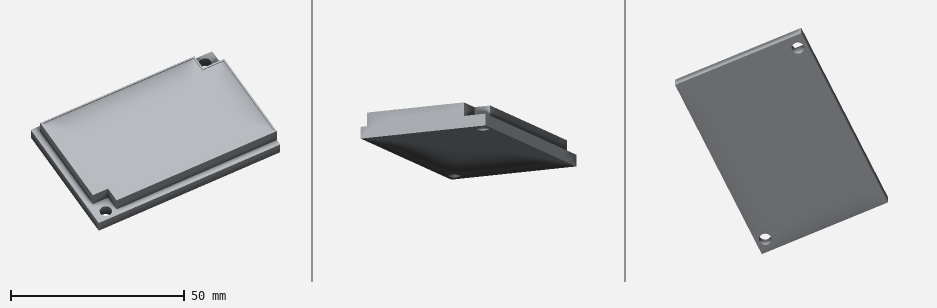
import cadquery as cq

width = 40.0
length = 60.0
total_height = 7.5
base_height = 3.5

margin = 2.0
notch_inset = 7.0
rim_width = 0.5
recess_depth = 0.3

hole_diameter = 3.6
hole_inset_x = 2.9
hole_inset_y = 3.95


def notched_outline(inset):
    """Block outline with two notched corners, moved inward by inset."""
    left = -width / 2 + margin + inset
    right = -left
    front = -length / 2 + margin + inset
    back = length / 2 - inset
    notch_x = width / 2 - notch_inset - inset
    notch_y = length / 2 - notch_inset - inset
    return [
        (left, front),
        (notch_x, front),
        (notch_x, -notch_y),
        (right, -notch_y),
        (right, back),
        (-notch_x, back),
        (-notch_x, notch_y),
        (left, notch_y),
    ]


def notched_prism(inset, bottom, top):
    outline = cq.Workplane("XY").workplane(offset=bottom).polyline(notched_outline(inset))
    return outline.close().extrude(top - bottom)


base = cq.Workplane("XY").box(width, length, base_height, centered=(True, True, False))
block = notched_prism(0, base_height, total_height)
recess = notched_prism(rim_width, total_height - recess_depth, total_height)

hole_x = width / 2 - hole_inset_x
hole_y = length / 2 - hole_inset_y
holes = (
    cq.Workplane("XY")
    .pushPoints([(-hole_x, hole_y), (hole_x, -hole_y)])
    .circle(hole_diameter / 2)
    .extrude(base_height)
)

result = base.union(block).cut(recess).cut(holes)